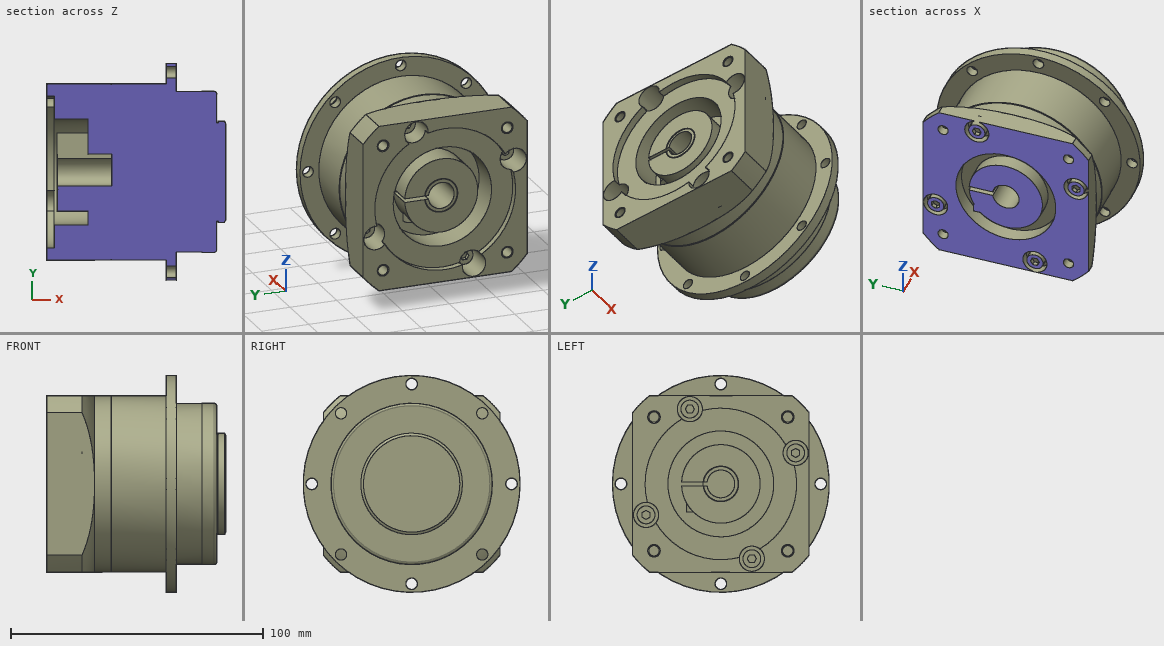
import cadquery as cq
import math

CORNER_END_X = 14.0
HOUSING_START_X = 19.0
JOINT_X = 25.45
FLANGE_START_X = 47.4
FLANGE_END_X = 51.4
PILOT_STEP_X = 61.6
PILOT_END_X = 67.4
SHAFT_RIM_X = 67.9
SHAFT_END_X = 71.0

FLANGE_RADIUS = 43.0
HOUSING_RADIUS = 35.0
PLATE_WIDTH = 2 * HOUSING_RADIUS
PLATE_CORNER_RADIUS = 45.0
PLATE_TAPER_BULGE = 0.4
PILOT_RADIUS = 32.0
PILOT_RELIEF = 0.1
PILOT_FILLET = 1.0
SHAFT_RADIUS = 20.1
SHAFT_CHAMFER = 1.0
SHAFT_CHAMFER_DROP = 0.5
SHAFT_NECK_RADIUS = SHAFT_RADIUS - SHAFT_CHAMFER_DROP
JOINT_WIDTH = 0.35
JOINT_DEPTH = 0.2

MOTOR_PILOT_RADIUS = 30.0
MOTOR_PILOT_DEPTH = 3.0
CAVITY_RADIUS = 21.0
CAVITY_DEPTH = 16.3
HUB_RADIUS = 15.6
HUB_FACE_X = 4.2
BORE_RADIUS = 5.5
BORE_DEPTH = 25.8
SLEEVE_RADIUS = 7.05
SLEEVE_GAP = 0.2
SLIT_WIDTH = 1.55

CLAMP_HEAD_RADIUS = 2.75
CLAMP_HEAD_X = 10.3
CLAMP_HEAD_Y = 10.9
CLAMP_HEAD_BOTTOM_Z = -11.2
CLAMP_HEAD_HEIGHT = 3.4

FLANGE_HOLE_COUNT = 8
FLANGE_HOLE_RADIUS = 2.2
FLANGE_HOLE_CIRCLE = 39.6
MOTOR_HOLE_SPACING = 53.0
MOTOR_HOLE_RADIUS = 2.1
MOTOR_HOLE_MOUTH_RADIUS = 2.5
MOTOR_HOLE_CHAMFER = 0.2
MOTOR_HOLE_DEPTH = CORNER_END_X
SCREW_COUNT = 4
SCREW_CIRCLE = 32.1
SCREW_FIRST_ANGLE = 67.5
SCREW_BORE_RADIUS = 5.0
SCREW_BORE_DEPTH = 14.0
SCREW_HEAD_RADIUS = 3.5
SCREW_HEAD_HEIGHT = 4.0
SOCKET_CORNER_RADIUS = 1.8
SOCKET_DEPTH = 2.0


def cylinder(radius, start_x, end_x):
    """Solid cylinder along X between two stations."""
    plane = cq.Workplane("YZ", origin=(start_x, 0, 0))
    return plane.circle(radius).extrude(end_x - start_x)


def ring(outer_radius, inner_radius, start_x, end_x):
    plane = cq.Workplane("YZ", origin=(start_x, 0, 0))
    return plane.circle(outer_radius).circle(inner_radius).extrude(end_x - start_x)


def input_plate():
    """Square plate with turned corners that curve down to the round housing."""
    profile = (
        cq.Workplane("XY")
        .lineTo(0, PLATE_CORNER_RADIUS)
        .lineTo(CORNER_END_X, PLATE_CORNER_RADIUS)
        .sagittaArc((HOUSING_START_X, HOUSING_RADIUS), PLATE_TAPER_BULGE)
        .lineTo(HOUSING_START_X, 0)
        .close()
    )
    turned = profile.revolve(360, (0, 0, 0), (1, 0, 0))
    square = cq.Workplane("YZ").rect(PLATE_WIDTH, PLATE_WIDTH).extrude(HOUSING_START_X)
    return turned.intersect(square)


def housing():
    """Round housing with a fine joint groove, ending in the mounting flange."""
    body = cylinder(HOUSING_RADIUS, HOUSING_START_X, FLANGE_START_X)
    groove = ring(HOUSING_RADIUS, HOUSING_RADIUS - JOINT_DEPTH, JOINT_X, JOINT_X + JOINT_WIDTH)
    flange = cylinder(FLANGE_RADIUS, FLANGE_START_X, FLANGE_END_X)
    return body.cut(groove).union(flange)


def output_pilot():
    """Stepped pilot with a rounded rim."""
    base = cylinder(PILOT_RADIUS - PILOT_RELIEF, FLANGE_END_X, PILOT_STEP_X)
    tip = cylinder(PILOT_RADIUS, PILOT_STEP_X, PILOT_END_X)
    return base.union(tip.faces(">X").edges().fillet(PILOT_FILLET))


def output_shaft():
    """Short neck and the chamfered shaft rim beyond it."""
    neck = cylinder(SHAFT_NECK_RADIUS, PILOT_END_X, SHAFT_RIM_X)
    rim = cylinder(SHAFT_RADIUS, SHAFT_RIM_X, SHAFT_END_X)
    return neck.union(rim.faces(">X").edges().chamfer(SHAFT_CHAMFER_DROP, SHAFT_CHAMFER))


def motor_recess():
    """Shallow motor pilot and the deeper annular cavity around the hub."""
    pilot = cylinder(MOTOR_PILOT_RADIUS, 0, MOTOR_PILOT_DEPTH)
    hub_clearance = cylinder(CAVITY_RADIUS, 0, HUB_FACE_X)
    cavity = ring(CAVITY_RADIUS, HUB_RADIUS, 0, CAVITY_DEPTH)
    return pilot.union(hub_clearance).union(cavity)


def slit(reach, end_x):
    """Slit from the hub axis toward +Y, cut from the hub face to a station."""
    length = end_x - HUB_FACE_X
    blade = cq.Workplane("XY").box(length, reach, SLIT_WIDTH, centered=(False, False, True))
    return blade.translate((HUB_FACE_X, 0, 0))


def hub_bore():
    """Shaft bore, the fine gap around its sleeve, and the clamping slit on the +Y side."""
    bore = cylinder(BORE_RADIUS, HUB_FACE_X, BORE_DEPTH)
    gap = ring(SLEEVE_RADIUS, SLEEVE_RADIUS - SLEEVE_GAP, HUB_FACE_X, HUB_FACE_X + SLEEVE_GAP)
    hub_slit = slit(HUB_RADIUS, CAVITY_DEPTH)
    sleeve_slit = slit(SLEEVE_RADIUS, BORE_DEPTH)
    return bore.union(gap).union(hub_slit).union(sleeve_slit)


def clamp_screw_head():
    plane = cq.Workplane("XY", origin=(CLAMP_HEAD_X, CLAMP_HEAD_Y, CLAMP_HEAD_BOTTOM_Z))
    return plane.circle(CLAMP_HEAD_RADIUS).extrude(CLAMP_HEAD_HEIGHT)


def flange_holes():
    plane = cq.Workplane("YZ", origin=(FLANGE_START_X, 0, 0))
    pattern = plane.polarArray(FLANGE_HOLE_CIRCLE, 0, 360, FLANGE_HOLE_COUNT)
    return pattern.circle(FLANGE_HOLE_RADIUS).extrude(FLANGE_END_X - FLANGE_START_X)


def motor_holes():
    """Blind holes in the four plate corners, each with a shallow chamfered mouth."""
    face = cq.Workplane("YZ")
    pattern = face.rarray(MOTOR_HOLE_SPACING, MOTOR_HOLE_SPACING, 2, 2)
    holes = pattern.circle(MOTOR_HOLE_RADIUS).extrude(MOTOR_HOLE_DEPTH)
    lip = MOTOR_HOLE_MOUTH_RADIUS - MOTOR_HOLE_RADIUS
    taper = math.degrees(math.atan2(lip, MOTOR_HOLE_CHAMFER))
    mouths = pattern.circle(MOTOR_HOLE_MOUTH_RADIUS).extrude(MOTOR_HOLE_CHAMFER, taper=taper)
    return holes.union(mouths)


def screw_pocket():
    """Counterbore holding a socket-head screw, with a socket corner toward +Y."""
    head_face_x = SCREW_BORE_DEPTH - SCREW_HEAD_HEIGHT
    bore = cylinder(SCREW_BORE_RADIUS, 0, SCREW_BORE_DEPTH)
    head = cylinder(SCREW_HEAD_RADIUS, head_face_x, SCREW_BORE_DEPTH)
    socket_plane = cq.Workplane("YZ", origin=(head_face_x, 0, 0))
    socket = socket_plane.polygon(6, 2 * SOCKET_CORNER_RADIUS).extrude(SOCKET_DEPTH)
    return bore.cut(head.cut(socket))


def screw_pockets():
    """Screw pockets spaced evenly about the main axis, each turned with its position."""
    angle = math.radians(SCREW_FIRST_ANGLE)
    centre = (0, SCREW_CIRCLE * math.cos(angle), SCREW_CIRCLE * math.sin(angle))
    first = screw_pocket().translate(centre)
    pockets = first
    for index in range(1, SCREW_COUNT):
        turn = index * 360 / SCREW_COUNT
        pockets = pockets.union(first.rotate((0, 0, 0), (1, 0, 0), turn))
    return pockets


result = input_plate().union(housing()).union(output_pilot()).union(output_shaft())
result = result.cut(motor_recess()).cut(hub_bore())
result = result.union(clamp_screw_head())
result = result.cut(flange_holes()).cut(motor_holes()).cut(screw_pockets())